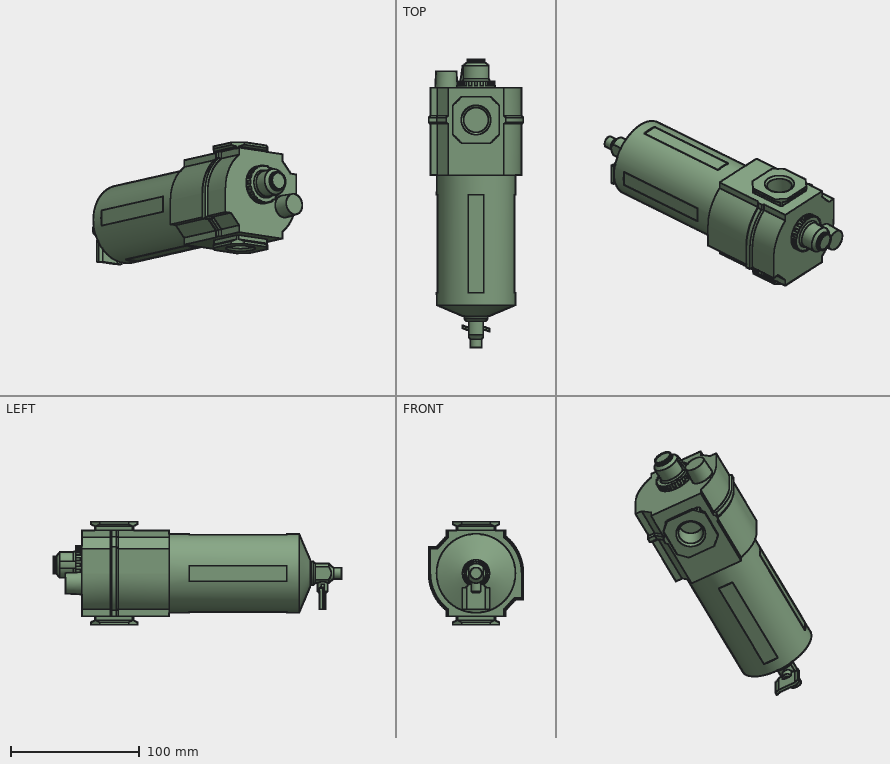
import cadquery as cq
import math


HEAD_FRONT_Y = -42.7
HEAD_BACK_Y = 25.0
HEAD_RADIUS = 35.3
NECK_HALF_WIDTH = 21.7
HEAD_HALF_HEIGHT = 33.3
SHOULDER_HEIGHT = 19.0
SHOULDER_X = 30.0
NECK_ARC_Z = math.sqrt(HEAD_RADIUS**2 - NECK_HALF_WIDTH**2)

BAND_HEIGHT = 1.45
BAND_WIDTH = 6.3
BAND_CHAMFER = 1.3

PORT_FACE_Z = 40.0
PORT_HALF_SIZE = 18.1
PORT_CORNER_CUT = 7.0
PORT_RIM = 2.0
PORT_UNDERCUT = 3.0
PORT_UNDERCUT_HEIGHT = 1.45
PORT_BORE_RADIUS = 9.6
PORT_BORE_DEPTH = 18.0
PORT_MOUTH_RADIUS = 11.5

BOWL_RADIUS = 30.6
BOWL_CONE_Y = -143.6
BOWL_END_Y = -152.1
BOWL_END_RADIUS = 10.5
WINDOW_BACK_Y = -58.2
WINDOW_FRONT_Y = -134.0
WINDOW_HALF_WIDTH = 6.0
WINDOW_FLAT = 29.8
WINDOW_COUNT = 4

KNOB_Z = 6.5
KNOB_TOP_Y = 47.2
CROWN_BASE_Y = 44.5
CROWN_RADIUS = 7.0
SHOULDER_Y = 42.0
SHOULDER_START_RADIUS = 7.4
GRIP_RADIUS = 10.0
FLARE_Y = 31.8
FLARE_RADIUS = 11.0
RING_TOP_Y = 30.0
RING_BASE_Y = 26.5
RING_RADIUS = 14.8
NOTCH_COUNT = 20
NOTCH_DEPTH = 0.55
POINTER_HALF_WIDTH = 2.7
POINTER_TOP_RADIUS = 10.5
POINTER_BASE_RADIUS = 12.3

PLUG_X = -23.0
PLUG_Z = -7.8
PLUG_TOP_Y = 37.8
PLUG_TOP_RADIUS = 8.0
PLUG_BASE_RADIUS = 8.7

COLLAR_START_RADIUS = 8.7
COLLAR_RADIUS = 9.2
COLLAR_LEAD = 0.7
COLLAR_RIM_Y = -154.4
COLLAR_END_Y = -156.1
DRAIN_RADIUS = 7.5
DRAIN_FLAT_X = 5.8
DRAIN_SHOULDER_Y = -166.5
DRAIN_CONE_Y = -169.0
DRAIN_CONE_RADIUS = 5.4
SPOUT_Y = -170.2
SPOUT_RADIUS = 4.5
DRAIN_END_Y = KNOB_TOP_Y - 223.7

LEVER_Y = -161.7
STEM_RADIUS = 4.0
STEM_END_Z = -15.2
STEM_CHAMFER = 1.3
WING_THICKNESS = 2.5
WING_SHIFT = 1.3
WING_BEND_X = 7.2
WING_TIP_X = 10.5
WING_END_Z = -28.0
WING_TOP_Z = -8.5
WING_TOP_HALF_WIDTH = 5.4
WING_SHOULDER_X = 8.0
WING_SHOULDER_Z = -11.0
WING_TIP_Z = -11.5


def revolve_about_y(profile):
    """Solid of revolution about the Y axis from (radius, y) points."""
    return cq.Workplane("XY").polyline(profile).close().revolve(360, (0, 0), (0, 1))


def cut_notches(wheel, radius, y_low, y_high):
    """Cut evenly spaced square notches into the rim of a wheel on the Y axis."""
    width = math.pi * radius / NOTCH_COUNT
    notch = cq.Workplane("XY").box(width, y_high - y_low, 2 * NOTCH_DEPTH)
    notch = notch.translate((0, (y_low + y_high) / 2, radius))
    for i in range(NOTCH_COUNT):
        wheel = wheel.cut(notch.rotate((0, 0, 0), (0, 1, 0), i * 360 / NOTCH_COUNT))
    return wheel


def head_outline(y):
    """Head section at height y, unchanged by a half turn about the Y axis."""
    arc_mid_angle = math.atan2(NECK_ARC_Z, NECK_HALF_WIDTH) / 2
    mid_x = HEAD_RADIUS * math.cos(arc_mid_angle)
    mid_z = HEAD_RADIUS * math.sin(arc_mid_angle)
    outline = cq.Workplane("XZ", origin=(0, y, 0)).moveTo(NECK_HALF_WIDTH, HEAD_HALF_HEIGHT)
    for side in (-1, 1):
        outline = (
            outline.lineTo(side * NECK_HALF_WIDTH, -side * HEAD_HALF_HEIGHT)
            .lineTo(side * NECK_HALF_WIDTH, -side * NECK_ARC_Z)
            .lineTo(side * SHOULDER_X, -side * SHOULDER_HEIGHT)
            .lineTo(side * HEAD_RADIUS, -side * SHOULDER_HEIGHT)
            .lineTo(side * HEAD_RADIUS, 0)
            .threePointArc((side * mid_x, side * mid_z), (side * NECK_HALF_WIDTH, side * NECK_ARC_Z))
            .lineTo(side * NECK_HALF_WIDTH, side * HEAD_HALF_HEIGHT)
        )
    return outline.close()


def make_band():
    """Chamfered band that follows the head sides, flush with its top and bottom faces."""
    band = head_outline(BAND_WIDTH / 2).offset2D(BAND_HEIGHT, "intersection").extrude(BAND_WIDTH)
    band = band.faces("<Y or >Y").chamfer(BAND_CHAMFER)
    return band.intersect(
        cq.Workplane("XY").box(4 * HEAD_RADIUS, BAND_WIDTH, 2 * HEAD_HALF_HEIGHT)
    )


def make_port():
    """Square port boss on +Z with an undercut rim and clipped corners."""
    size = 2 * PORT_HALF_SIZE
    neck_size = size - 2 * PORT_UNDERCUT
    rim_bottom = PORT_FACE_Z - PORT_RIM
    rim = cq.Workplane("XY", origin=(0, 0, rim_bottom)).rect(size, size).extrude(PORT_RIM)
    flare_taper = math.degrees(math.atan2(PORT_UNDERCUT, PORT_UNDERCUT_HEIGHT))
    flare = (
        cq.Workplane("XY", origin=(0, 0, rim_bottom))
        .rect(size, size)
        .extrude(-PORT_UNDERCUT_HEIGHT, taper=flare_taper)
    )
    neck = cq.Workplane("XY").rect(neck_size, neck_size).extrude(rim_bottom)
    clip = cq.Workplane("XY").rect(size, size).extrude(PORT_FACE_Z).edges("|Z").chamfer(PORT_CORNER_CUT)
    return rim.union(flare).union(neck).intersect(clip)


def make_port_bore():
    """Blind bore on +Z with a countersunk mouth."""
    mouth_depth = PORT_MOUTH_RADIUS - PORT_BORE_RADIUS
    floor_z = PORT_FACE_Z - PORT_BORE_DEPTH
    profile = [
        (0, floor_z),
        (PORT_BORE_RADIUS, floor_z),
        (PORT_BORE_RADIUS, PORT_FACE_Z - mouth_depth),
        (PORT_MOUTH_RADIUS, PORT_FACE_Z),
        (0, PORT_FACE_Z),
    ]
    return cq.Workplane("XZ").polyline(profile).close().revolve(360, (0, 0), (0, 1))


def make_head():
    head = head_outline(HEAD_BACK_Y).extrude(HEAD_BACK_Y - HEAD_FRONT_Y).union(make_band())
    for angle in (0, 180):
        head = head.union(make_port().rotate((0, 0, 0), (0, 1, 0), angle))
    for angle in (0, 180):
        head = head.cut(make_port_bore().rotate((0, 0, 0), (0, 1, 0), angle))
    return head


def make_bowl():
    bowl = revolve_about_y([
        (0, HEAD_FRONT_Y),
        (BOWL_RADIUS, HEAD_FRONT_Y),
        (BOWL_RADIUS, BOWL_CONE_Y),
        (BOWL_END_RADIUS, BOWL_END_Y),
        (0, BOWL_END_Y),
    ])
    window_length = WINDOW_BACK_Y - WINDOW_FRONT_Y
    window = (
        cq.Workplane("XY", origin=(0, (WINDOW_BACK_Y + WINDOW_FRONT_Y) / 2, WINDOW_FLAT))
        .rect(2 * WINDOW_HALF_WIDTH, window_length)
        .extrude(BOWL_RADIUS - WINDOW_FLAT)
    )
    for i in range(WINDOW_COUNT):
        bowl = bowl.cut(window.rotate((0, 0, 0), (0, 1, 0), i * 360 / WINDOW_COUNT))
    return bowl


def make_pointer():
    """Narrow tapered pointer on the -X side of the knob."""
    cone = revolve_about_y([
        (0, SHOULDER_Y),
        (POINTER_TOP_RADIUS, SHOULDER_Y),
        (POINTER_BASE_RADIUS, RING_TOP_Y),
        (0, RING_TOP_Y),
    ])
    slab = cq.Workplane("XY", origin=(-POINTER_BASE_RADIUS / 2, (SHOULDER_Y + RING_TOP_Y) / 2, 0)).box(
        POINTER_BASE_RADIUS, SHOULDER_Y - RING_TOP_Y, 2 * POINTER_HALF_WIDTH
    )
    return cone.intersect(slab)


def make_knob():
    knob = revolve_about_y([
        (0, HEAD_BACK_Y),
        (RING_RADIUS, HEAD_BACK_Y),
        (RING_RADIUS, RING_TOP_Y),
        (FLARE_RADIUS, RING_TOP_Y),
        (GRIP_RADIUS, FLARE_Y),
        (GRIP_RADIUS, SHOULDER_Y),
        (SHOULDER_START_RADIUS, CROWN_BASE_Y),
        (CROWN_RADIUS, CROWN_BASE_Y),
        (CROWN_RADIUS, KNOB_TOP_Y),
        (0, KNOB_TOP_Y),
    ])
    knob = cut_notches(knob, RING_RADIUS, RING_BASE_Y, RING_TOP_Y)
    knob = cut_notches(knob, CROWN_RADIUS, CROWN_BASE_Y, KNOB_TOP_Y)
    return knob.union(make_pointer()).translate((0, 0, KNOB_Z))


def make_plug():
    plug = revolve_about_y([
        (0, HEAD_BACK_Y),
        (PLUG_BASE_RADIUS, HEAD_BACK_Y),
        (PLUG_TOP_RADIUS, PLUG_TOP_Y),
        (0, PLUG_TOP_Y),
    ])
    return plug.translate((PLUG_X, 0, PLUG_Z))


def make_lever():
    """Stem on -Z with a plate whose two wings bend opposite ways along Y."""
    stem = (
        cq.Workplane("XY", origin=(0, LEVER_Y, 0))
        .circle(STEM_RADIUS)
        .extrude(STEM_END_Z)
        .faces("<Z")
        .chamfer(STEM_CHAMFER)
    )
    half = WING_THICKNESS / 2
    plate = (
        cq.Workplane("XY", origin=(0, LEVER_Y, WING_END_Z))
        .polyline([
            (-WING_TIP_X, WING_SHIFT - half),
            (-WING_BEND_X, -half),
            (WING_BEND_X, -half),
            (WING_TIP_X, -WING_SHIFT - half),
            (WING_TIP_X, -WING_SHIFT + half),
            (WING_BEND_X, half),
            (-WING_BEND_X, half),
            (-WING_TIP_X, WING_SHIFT + half),
        ])
        .close()
        .extrude(WING_TOP_Z - WING_END_Z)
    )
    half_outline = [
        (WING_TOP_HALF_WIDTH, WING_TOP_Z),
        (WING_SHOULDER_X, WING_SHOULDER_Z),
        (WING_TIP_X, WING_TIP_Z),
        (WING_TIP_X, WING_END_Z),
    ]
    outline = half_outline + [(-x, z) for x, z in reversed(half_outline)]
    trim = (
        cq.Workplane("XZ", origin=(0, LEVER_Y, 0))
        .polyline(outline)
        .close()
        .extrude(WING_SHIFT + WING_THICKNESS, both=True)
    )
    return stem.union(plate.intersect(trim))


def make_drain():
    collar = revolve_about_y([
        (0, BOWL_END_Y),
        (COLLAR_START_RADIUS, BOWL_END_Y),
        (COLLAR_RADIUS, BOWL_END_Y - COLLAR_LEAD),
        (COLLAR_RADIUS, COLLAR_RIM_Y),
        (DRAIN_RADIUS, COLLAR_END_Y),
        (0, COLLAR_END_Y),
    ])
    barrel = revolve_about_y([
        (0, COLLAR_END_Y),
        (DRAIN_RADIUS, COLLAR_END_Y),
        (DRAIN_RADIUS, DRAIN_SHOULDER_Y),
        (DRAIN_CONE_RADIUS, DRAIN_CONE_Y),
        (SPOUT_RADIUS, SPOUT_Y),
        (SPOUT_RADIUS, DRAIN_END_Y),
        (0, DRAIN_END_Y),
    ])
    flats_length = COLLAR_END_Y - DRAIN_END_Y
    flats = cq.Workplane("XY", origin=(0, COLLAR_END_Y - flats_length / 2, 0)).box(
        2 * DRAIN_FLAT_X, flats_length, 2 * DRAIN_RADIUS
    )
    return collar.union(barrel.intersect(flats)).union(make_lever())


head = make_head()
bowl = make_bowl()
knob = make_knob()
plug = make_plug()
drain = make_drain()

result = cq.Compound.makeCompound([head.val(), bowl.val(), knob.val(), plug.val(), drain.val()])